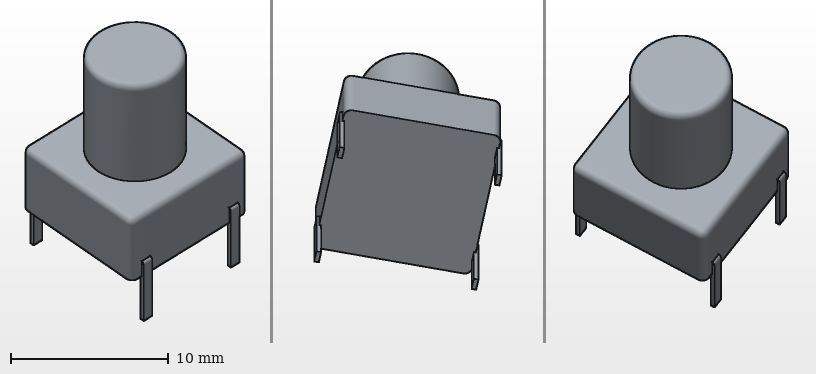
import cadquery as cq

total_height = 16.7
lead_span = 10.45

housing_side = 10.1
housing_bottom = 3.6
housing_top = 8.7
housing_fillet = 0.5

button_diameter = 6.5
button_fillet = 0.5

lead_thickness = 0.3
lead_width = 0.75
lead_top = 4.88
lead_spacing = 7.6
lead_fillet = 0.25

lead_centers = [
    (side, y) for side in (-1, 1) for y in (-lead_spacing / 2, lead_spacing / 2)
]


def make_lead(side, y):
    """Flat lead on the -X (side = -1) or +X (side = 1) wall, its outer top edge rounded."""
    x = side * (lead_span - lead_thickness) / 2
    outer_face = ">X" if side > 0 else "<X"
    return (
        cq.Workplane("XY")
        .center(x, y)
        .rect(lead_thickness, lead_width)
        .extrude(lead_top)
        .faces(outer_face)
        .edges(">Z")
        .fillet(lead_fillet)
    )


def make_housing(leads):
    """Square block with rounded top and corners, recessed where the leads are let in."""
    block = (
        cq.Workplane("XY")
        .workplane(offset=housing_bottom)
        .rect(housing_side, housing_side)
        .extrude(housing_top - housing_bottom)
        .edges("|Z or >Z")
        .fillet(housing_fillet)
    )
    for lead in leads:
        block = block.cut(lead)
    return block


def make_button():
    """Round plunger standing on the housing, with a rounded top rim."""
    return (
        cq.Workplane("XY")
        .workplane(offset=housing_top)
        .circle(button_diameter / 2)
        .extrude(total_height - housing_top)
        .faces(">Z")
        .edges()
        .fillet(button_fillet)
    )


leads = [make_lead(side, y) for side, y in lead_centers]
housing = make_housing(leads)
button = make_button()

result = cq.Compound.makeCompound(
    [housing.val(), button.val(), *[lead.val() for lead in leads]]
)